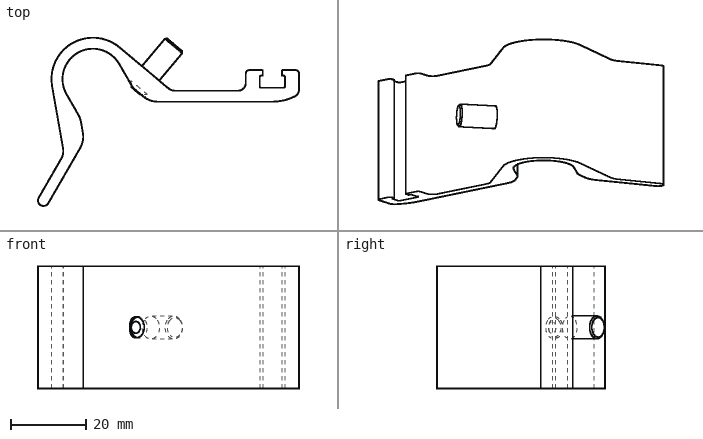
import cadquery as cq
import math

LENGTH = 69.35
WIDTH = 44.7
HEIGHT = 32.5
WALL = 3.0
PAD = 5.95
BEND_OUTER = 11.0
BEND_INNER = BEND_OUTER - WALL
ARM_BEND = WALL
LEG_BEND = 4.0
PAD_BEND = 2 * WALL

SCREW_ANGLE = 50
THROAT_ANGLE = 30
LEG_PAD_ANGLE = 190
LEG_ANGLE = -30

TIP_RADIUS = WALL / 2
TIP_X = -13.1
TIP_Y = BEND_OUTER - WIDTH + TIP_RADIUS

ARM_TOP = -3.05
ARM_BOTTOM = ARM_TOP - WALL
RAIL_LEFT = 40.6
RAIL_RIGHT = TIP_X - TIP_RADIUS + LENGTH
RAIL_TOP = 2.4
SLOT_CENTRE = (RAIL_LEFT + RAIL_RIGHT) / 2
SLOT_WIDTH = 6.65
MOUTH_WIDTH = 5.0
LIP_DEPTH = 1.5
SLOT_FLOOR = -2.3
RAIL_FILLET = 2.0
RAIL_CORNER = 1.0
SLOT_CORNER = 0.35
CHIN_RADIUS = 13.0
CHIN_SLOPE = 27
CHIN_START = 50.8
CHIN_CORNER = 1.95

SCREW_DIAMETER = 6.0
SCREW_OFFSET = 10.75
SCREW_END = 20.95
SCREW_CHAMFER = 0.4
SCREW_TIP_DIAMETER = 3.1
SCREW_TIP_LENGTH = (SCREW_DIAMETER - SCREW_TIP_DIAMETER) / 2
SCREW_TIP_PROTRUSION = 0.15
POCKET_DIAMETER = 5.6

SHORTEST_LINE = 6.94e-07


def face(angle, distance):
    """Line with the given normal direction and distance from the origin."""
    return math.cos(math.radians(angle)), math.sin(math.radians(angle)), distance


def meet(first, second):
    """Point where two lines cross."""
    a, b, c = first
    d, e, f = second
    det = a * e - b * d
    return (c * e - b * f) / det, (a * f - c * d) / det


def rounded_outline(corners):
    """Closed wire from (point, radius) corners; zero radius keeps a corner sharp."""
    wire = None
    for i, (point, radius) in enumerate(corners):
        corner = cq.Vector(*point)
        to_last = (cq.Vector(*corners[i - 1][0]) - corner).normalized()
        to_next = (cq.Vector(*corners[(i + 1) % len(corners)][0]) - corner).normalized()
        half_angle = to_last.getAngle(to_next) / 2
        setback = radius / math.tan(half_angle)
        start = corner + to_last * setback
        end = corner + to_next * setback
        bisector = (to_last + to_next).normalized()
        middle = corner + bisector * (radius / math.sin(half_angle) - radius)
        if wire is None:
            wire = cq.Workplane("XY").moveTo(start.x, start.y)
        elif (start - previous_end).Length > SHORTEST_LINE:
            wire = wire.lineTo(start.x, start.y)
        if radius > 0:
            wire = wire.threePointArc((middle.x, middle.y), (end.x, end.y))
        previous_end = end
    return wire.close()


def clip_corners():
    pad_inner = BEND_OUTER - PAD
    arm_outside = face(SCREW_ANGLE, BEND_OUTER)
    arm_inside = face(SCREW_ANGLE, pad_inner)
    arm_throat = face(THROAT_ANGLE, BEND_INNER)
    leg_outside = face(LEG_PAD_ANGLE, BEND_OUTER)
    leg_inside = face(LEG_PAD_ANGLE, pad_inner)
    leg_throat = face(180 + THROAT_ANGLE, BEND_INNER)
    bend_crown = face(THROAT_ANGLE + 90, BEND_INNER)
    arm_top = face(90, ARM_TOP)
    arm_bottom = face(90, ARM_BOTTOM)

    normal_x, normal_y, _ = face(LEG_ANGLE, 0)
    leg_centre = TIP_X * normal_x + TIP_Y * normal_y
    leg_front = face(LEG_ANGLE, leg_centre + TIP_RADIUS)
    leg_back = face(LEG_ANGLE, leg_centre - TIP_RADIUS)
    tip_along = TIP_X * -normal_y + TIP_Y * normal_x
    tip_end = face(LEG_ANGLE + 90, tip_along - TIP_RADIUS)

    chin_end = ARM_BOTTOM + (RAIL_RIGHT - CHIN_START) * math.tan(math.radians(CHIN_SLOPE))
    mouth_left = SLOT_CENTRE - MOUTH_WIDTH / 2
    mouth_right = SLOT_CENTRE + MOUTH_WIDTH / 2
    slot_left = SLOT_CENTRE - SLOT_WIDTH / 2
    slot_right = SLOT_CENTRE + SLOT_WIDTH / 2
    lip_bottom = RAIL_TOP - LIP_DEPTH

    return [
        (meet(leg_back, leg_outside), LEG_BEND),
        (meet(leg_outside, arm_outside), BEND_OUTER),
        (meet(arm_outside, arm_top), ARM_BEND),
        ((RAIL_LEFT, ARM_TOP), RAIL_FILLET),
        ((RAIL_LEFT, RAIL_TOP), RAIL_CORNER),
        ((mouth_left, RAIL_TOP), SLOT_CORNER),
        ((mouth_left, lip_bottom), 0),
        ((slot_left, lip_bottom), SLOT_CORNER),
        ((slot_left, SLOT_FLOOR), SLOT_CORNER),
        ((slot_right, SLOT_FLOOR), SLOT_CORNER),
        ((slot_right, lip_bottom), SLOT_CORNER),
        ((mouth_right, lip_bottom), 0),
        ((mouth_right, RAIL_TOP), SLOT_CORNER),
        ((RAIL_RIGHT, RAIL_TOP), RAIL_CORNER),
        ((RAIL_RIGHT, chin_end), CHIN_CORNER),
        ((CHIN_START, ARM_BOTTOM), CHIN_RADIUS),
        (meet(arm_bottom, arm_inside), PAD_BEND),
        (meet(arm_inside, arm_throat), PAD_BEND),
        (meet(arm_throat, bend_crown), BEND_INNER),
        (meet(bend_crown, leg_throat), BEND_INNER),
        (meet(leg_throat, leg_inside), PAD_BEND),
        (meet(leg_inside, leg_front), PAD_BEND),
        (meet(leg_front, tip_end), TIP_RADIUS),
        (meet(tip_end, leg_back), TIP_RADIUS),
    ]


def set_screw():
    """Screw with a conical tip just proud of the pad and a chamfered outer end."""
    axis_x, axis_y, _ = face(SCREW_ANGLE, 0)
    tip = BEND_OUTER - PAD - SCREW_TIP_PROTRUSION
    radius = SCREW_DIAMETER / 2
    half_section = [
        (0, tip),
        (SCREW_TIP_DIAMETER / 2, tip),
        (radius, tip + SCREW_TIP_LENGTH),
        (radius, SCREW_END - SCREW_CHAMFER),
        (radius - SCREW_CHAMFER, SCREW_END),
        (0, SCREW_END),
    ]
    origin = (SCREW_OFFSET * axis_y, -SCREW_OFFSET * axis_x, HEIGHT / 2)
    plane = cq.Plane(origin=origin, xDir=(axis_y, -axis_x, 0), normal=(0, 0, 1))
    return cq.Workplane(plane).polyline(half_section).close().revolve(360, (0, 0), (0, 1))


def screw_clearance():
    """Pocket that exposes the conical tip at the pad's inner face."""
    axis_x, axis_y, _ = face(SCREW_ANGLE, 0)
    pad_inner = BEND_OUTER - PAD
    start = pad_inner - SCREW_TIP_LENGTH
    cone_depth = (POCKET_DIAMETER - SCREW_TIP_DIAMETER) / 2
    depth = SCREW_TIP_LENGTH - SCREW_TIP_PROTRUSION + cone_depth
    origin = (
        SCREW_OFFSET * axis_y + start * axis_x,
        -SCREW_OFFSET * axis_x + start * axis_y,
        HEIGHT / 2,
    )
    plane = cq.Plane(origin=origin, xDir=(0, 0, 1), normal=(axis_x, axis_y, 0))
    return cq.Workplane(plane).circle(POCKET_DIAMETER / 2).extrude(depth)


clip = rounded_outline(clip_corners()).extrude(HEIGHT)
result = clip.cut(screw_clearance()).union(set_screw())